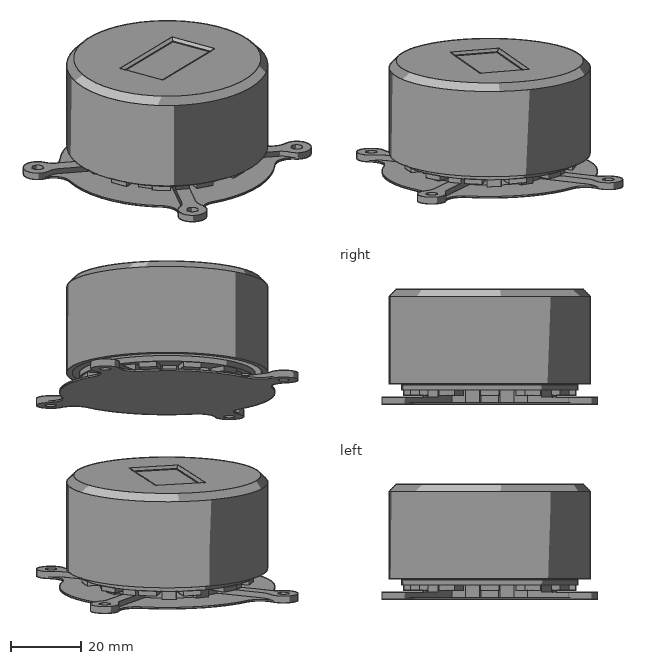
import cadquery as cq
import math

SKIRT_RADIUS = 30.6
SKIRT_THICKNESS = 0.5
FOOT_RADIUS = 4.1
FOOT_OFFSET = SKIRT_RADIUS - FOOT_RADIUS
FOOT_HEIGHT = 2.0
FOOT_HOLE_DIAMETER = 3.2
FILLET_RADIUS = 5.0
ARM_WIDTH = 4.05
ARM_STEP_RADIUS = 22.9
DRUM_DIAMETER = 34.4
DRUM_TOP = 4.0
PAD_REACH = 19.05

PLATE_DIAMETER = 50.0
PLATE_THICKNESS = 1.6
LIGHT_COUNT = 12
LIGHT_SIDE = 5.15
LIGHT_REACH = 24.5
LIGHT_HEIGHT = 1.45

HOUSING_DIAMETER = 57.2
HOUSING_BORE = 54.0
HOUSING_BOTTOM = 5.75
HOUSING_TOP = 32.7
HOUSING_CHAMFER = 2.0
ROOF_THICKNESS = 1.05
WINDOW_LENGTH_X = 14.55
WINDOW_LENGTH_Y = 26.55
WINDOW_TAPER = 0.8

DISPLAY_MARGIN = 1.0
DISPLAY_THICKNESS = 1.0

LIGHT_PITCH = 360.0 / LIGHT_COUNT
FOOT_ANGLES = [45.0, 135.0, 225.0, 315.0]
FOOT_REACH = FOOT_OFFSET * math.sqrt(2.0)


def turned(solid, angle):
    """Turn a shape built along +X about the Z axis."""
    return solid.rotate((0, 0, 0), (0, 0, 1), angle)


def cylinder(radius, bottom, top):
    return cq.Workplane("XY").workplane(offset=bottom).circle(radius).extrude(top - bottom)


def neck(start, arc_middle, end, height):
    """Plate symmetric about X, with one concave arc on either side."""
    return (
        cq.Workplane("XY")
        .moveTo(*start)
        .threePointArc(arc_middle, end)
        .lineTo(end[0], -end[1])
        .threePointArc((arc_middle[0], -arc_middle[1]), (start[0], -start[1]))
        .close()
        .extrude(height)
    )


def skirt_neck():
    """Web between the skirt and a foot; its arcs are tangent to both circles."""
    skirt_gap = SKIRT_RADIUS + FILLET_RADIUS
    foot_gap = FOOT_RADIUS + FILLET_RADIUS
    center_x = (skirt_gap**2 - foot_gap**2 + FOOT_REACH**2) / (2 * FOOT_REACH)
    center_y = math.sqrt(skirt_gap**2 - center_x**2)
    skirt_share = SKIRT_RADIUS / skirt_gap
    foot_share = FOOT_RADIUS / foot_gap
    start = (center_x * skirt_share, center_y * skirt_share)
    end = (FOOT_REACH + (center_x - FOOT_REACH) * foot_share, center_y * foot_share)
    chord_x = (start[0] + end[0]) / 2 - center_x
    chord_y = (start[1] + end[1]) / 2 - center_y
    scale = FILLET_RADIUS / math.hypot(chord_x, chord_y)
    arc_middle = (center_x + chord_x * scale, center_y + chord_y * scale)
    return neck(start, arc_middle, end, SKIRT_THICKNESS)


def arm_neck():
    """Flare from the straight arm to the foot; its arcs are tangent to both."""
    foot_gap = FOOT_RADIUS + FILLET_RADIUS
    center_y = ARM_WIDTH / 2 + FILLET_RADIUS
    center_x = FOOT_REACH - math.sqrt(foot_gap**2 - center_y**2)
    foot_share = FOOT_RADIUS / foot_gap
    start = (center_x, ARM_WIDTH / 2)
    end = (FOOT_REACH + (center_x - FOOT_REACH) * foot_share, center_y * foot_share)
    middle_angle = (math.radians(-90) + math.atan2(-center_y, FOOT_REACH - center_x)) / 2
    arc_middle = (
        center_x + FILLET_RADIUS * math.cos(middle_angle),
        center_y + FILLET_RADIUS * math.sin(middle_angle),
    )
    return neck(start, arc_middle, end, FOOT_HEIGHT)


def arm_bar(length, height):
    return cq.Workplane("XY").box(length, ARM_WIDTH, height, centered=(False, True, False))


def foot_and_arm():
    """One foot on +X with its neck, low outer arm and tall inner arm."""
    foot = cylinder(FOOT_RADIUS, 0, FOOT_HEIGHT).translate((FOOT_REACH, 0, 0))
    low_arm = arm_bar(FOOT_REACH, FOOT_HEIGHT)
    tall_arm = arm_bar(FOOT_REACH, DRUM_TOP).intersect(cylinder(ARM_STEP_RADIUS, 0, DRUM_TOP))
    hole = cylinder(FOOT_HOLE_DIAMETER / 2, 0, FOOT_HEIGHT).translate((FOOT_REACH, 0, 0))
    return foot.union(skirt_neck()).union(arm_neck()).union(low_arm).union(tall_arm).cut(hole)


def make_base():
    base = cylinder(SKIRT_RADIUS, 0, SKIRT_THICKNESS)
    base = base.union(cylinder(DRUM_DIAMETER / 2, 0, DRUM_TOP))
    for index in range(LIGHT_COUNT):
        pad_angle = (index + 0.5) * LIGHT_PITCH
        if pad_angle not in FOOT_ANGLES:
            base = base.union(turned(arm_bar(PAD_REACH, DRUM_TOP), pad_angle))
    for angle in FOOT_ANGLES:
        base = base.union(turned(foot_and_arm(), angle))
    return base


def make_light_plate():
    plate = cylinder(PLATE_DIAMETER / 2, DRUM_TOP, DRUM_TOP + PLATE_THICKNESS)
    light = (
        cq.Workplane("XY")
        .box(LIGHT_SIDE, LIGHT_SIDE, LIGHT_HEIGHT, centered=(True, True, False))
        .translate((LIGHT_REACH - LIGHT_SIDE / 2, 0, DRUM_TOP - LIGHT_HEIGHT))
    )
    for index in range(LIGHT_COUNT):
        plate = plate.union(turned(light, index * LIGHT_PITCH))
    return plate


def make_housing():
    roof_bottom = HOUSING_TOP - ROOF_THICKNESS
    shell = cylinder(HOUSING_DIAMETER / 2, HOUSING_BOTTOM, HOUSING_TOP)
    shell = shell.faces(">Z").chamfer(HOUSING_CHAMFER)
    cavity = cylinder(HOUSING_BORE / 2, HOUSING_BOTTOM, roof_bottom).faces(">Z").chamfer(HOUSING_CHAMFER)
    sill_x = WINDOW_LENGTH_X - 2 * WINDOW_TAPER
    sill_y = WINDOW_LENGTH_Y - 2 * WINDOW_TAPER
    lip = cq.Workplane("XY").workplane(offset=roof_bottom).rect(sill_x, sill_y).extrude(ROOF_THICKNESS)
    tapered_walls = (
        cq.Workplane("XY")
        .workplane(offset=HOUSING_TOP - WINDOW_TAPER)
        .rect(sill_x, sill_y)
        .workplane(offset=WINDOW_TAPER)
        .rect(WINDOW_LENGTH_X, WINDOW_LENGTH_Y)
        .loft()
    )
    return shell.cut(cavity).cut(lip).cut(tapered_walls)


def make_display():
    return (
        cq.Workplane("XY")
        .workplane(offset=HOUSING_TOP - ROOF_THICKNESS - DISPLAY_THICKNESS)
        .rect(WINDOW_LENGTH_X + 2 * DISPLAY_MARGIN, WINDOW_LENGTH_Y + 2 * DISPLAY_MARGIN)
        .extrude(DISPLAY_THICKNESS)
    )


base = make_base()
light_plate = make_light_plate()
housing = make_housing()
display = make_display()

result = cq.Compound.makeCompound([base.val(), light_plate.val(), housing.val(), display.val()])